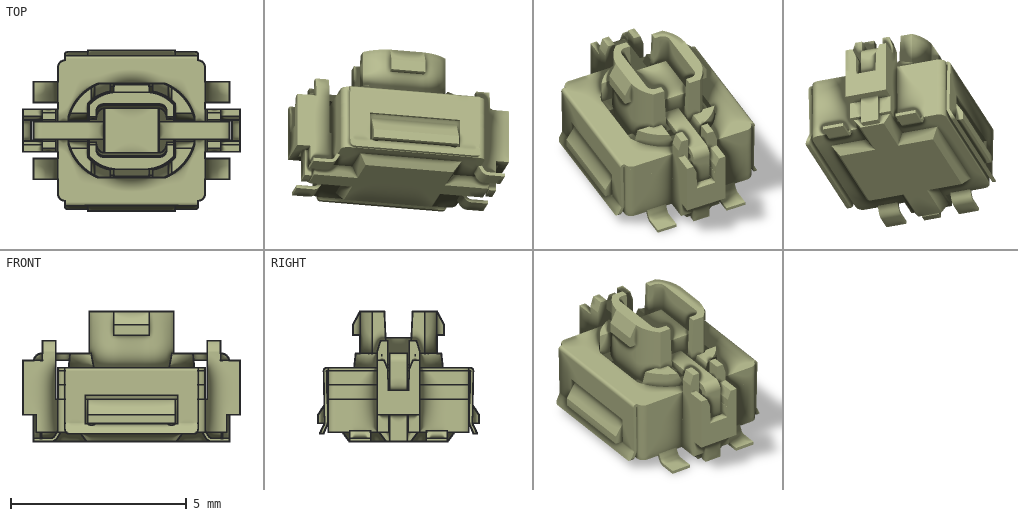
import cadquery as cq
import math


BASE_BOTTOM = 0.265
BASE_TOP = 1.215
LOWER_FRAME_TOP = 1.625
UPPER_FRAME_TOP = 2.02
SHEET = 0.095
COVER_TOP = UPPER_FRAME_TOP + SHEET
GUIDE_TOP = 2.525
BUTTON_TOP = 3.72
OVERLAP = 0.1

BODY_X = 4.21
BODY_Y = 4.02
CORNER_RADIUS = 0.21

PAD_X = 2.96
PAD_Y = 3.2
BAR_X = 5.16
BAR_Y = 1.1
PAD_INSET = 0.2
PAD_TAPER = math.degrees(math.atan2(PAD_INSET, BASE_BOTTOM))
BAR_END_SETBACK = 0.03

HOOK_WIDTH = 2.49
HOOK_TIP_Y = 2.3
HOOK_RAMP_END = 0.765
HOOK_BOTTOM = 0.525

BRACKET_TIP_X = 3.1
BRACKET_INNER_X = 2.16
BRACKET_SHOULDER_X = 2.545
BRACKET_LEG_X = 2.715
BRACKET_WIDTH = 1.22
SHOULDER_TOP = 2.325
POST_TOP = 2.885
POST_CHAMFER_Y = 0.1
POST_CHAMFER_Z = 0.31
WALL_BOTTOM = 0.765
NOTCH_FLOOR = 1.475
NOTCH_INNER_FLOOR = 1.8
NOTCH_TOP_HALF = 0.305
NOTCH_FLOOR_HALF = 0.29
NOTCH_FLARE_HALF = 0.41
NOTCH_FLARE_BOTTOM = 2.06
LEAD_SLOT_OUTER_X = 2.87
LEAD_SLOT_INNER_X = 2.575
LEAD_SLOT_HALF = 0.275

TERMINAL_WIDTH = 0.6
TERMINAL_PITCH = 2.19
TERMINAL_BEND = 0.15
TERMINAL_BEND_X = 2.32
TERMINAL_RISE = 60.0
TERMINAL_SLOPE = 0.25

LAMP_X = 1.58
LAMP_Y = 1.26
LAMP_TOP_X = 1.52
LAMP_BOTTOM = 2.2
LAMP_TOP = 2.97
LEAD_WIDTH = 0.51
LEAD_THICK = 0.2
LEAD_TOP = 2.525
LEAD_END_X = 2.8
LEAD_BEND = 0.25

ARC_CENTRE_X = 0.4
BUTTON_RADIUS = 1.1
BUTTON_HALF_X = 1.21
POCKET_X = 2.01
POCKET_TOP_HALF_Y = 0.76
POCKET_CORNER = 0.21
POCKET_CHAMFER = 0.09
SLOT_TOP_HALF = 0.4
SLOT_LAMP_HALF = 0.365
CATCH_WIDTH = 1.0
CATCH_TIP_Y = 1.303
CATCH_RAMP_END = 3.345
CATCH_BOTTOM = 3.045

GUIDE_RADIUS = 1.44
GUIDE_HALF_X = 1.79
GUIDE_HALF_Y = 1.335
GUIDE_GAP = 0.02
GUIDE_FLOOR = 1.95
BORE_FLARE = 0.04
PETAL_TOP_X = 1.155
PETAL_FLOOR_X = 1.045
GROOVE_FLOOR = 2.0
GROOVE_TOP_HALF = 0.5
GROOVE_FLOOR_HALF = 0.3
CATCH_PASSAGE_WIDTH = 1.215
CATCH_CHANNEL_DEPTH = 0.05
CATCH_RECESS_Y = 1.27

FLANGE_WIDTH = 3.8
FLANGE_TOP_Y = 2.145
FLANGE_BOTTOM_Y = 2.11
FLANGE_KNEE = 0.53
KNEE_RADIUS = 0.09
FLARE_TIP_Y = 2.255
FLARE_TIP_Z = 0.225
FLARE_TIP_WIDTH = 0.115
FLARE_CORNER = 0.12
WINDOW_WIDTH = 2.64
WINDOW_TOP = 1.33
WINDOW_BOTTOM = 0.505
RELIEF_DIAMETER = 0.35
RELIEF_X = (WINDOW_WIDTH - RELIEF_DIAMETER) / 2
RELIEF_Z = 0.645


def block(x0, x1, half_y, z0, z1):
    """Box between two X values and two Z values, centred on Y = 0."""
    box = cq.Workplane("XY").box(x1 - x0, 2 * half_y, z1 - z0, centered=(False, True, False))
    return box.translate((x0, 0, z0))


def along_y(points, length):
    """Extrude an XZ outline symmetrically along Y."""
    return cq.Workplane("XZ").polyline(points).close().extrude(length / 2, both=True)


def along_x(points, length):
    """Extrude a YZ outline symmetrically along X."""
    return cq.Workplane("YZ").polyline(points).close().extrude(length / 2, both=True)


def mirrored_points(right_side):
    """Close a symmetric outline from the points of its right side."""
    return right_side + [(-across, up) for across, up in reversed(right_side)]


def half_turn(shape):
    return shape.rotate((0, 0, 0), (0, 0, 1), 180)


def slab(z0, z1):
    """Layer with the rounded rectangular body footprint."""
    layer = cq.Workplane("XY").workplane(offset=z0).rect(BODY_X, BODY_Y).extrude(z1 - z0)
    return layer.edges("|Z").fillet(CORNER_RADIUS)


def rounded_outline(z0, radius, half_x, half_y):
    """Slot-like outline with round ends cut off flat at half_x and sides cut off flat at half_y."""
    side_y = math.sqrt(radius**2 - (half_x - ARC_CENTRE_X) ** 2)
    flat_x = ARC_CENTRE_X + math.sqrt(radius**2 - half_y**2)
    middle_angle = (math.atan2(side_y, half_x - ARC_CENTRE_X) + math.atan2(half_y, flat_x - ARC_CENTRE_X)) / 2
    middle_x = ARC_CENTRE_X + radius * math.cos(middle_angle)
    middle_y = radius * math.sin(middle_angle)
    return (
        cq.Workplane("XY")
        .workplane(offset=z0)
        .moveTo(half_x, -side_y)
        .lineTo(half_x, side_y)
        .threePointArc((middle_x, middle_y), (flat_x, half_y))
        .lineTo(-flat_x, half_y)
        .threePointArc((-middle_x, middle_y), (-half_x, side_y))
        .lineTo(-half_x, -side_y)
        .threePointArc((-middle_x, -middle_y), (-flat_x, -half_y))
        .lineTo(flat_x, -half_y)
        .threePointArc((middle_x, -middle_y), (half_x, -side_y))
        .close()
    )


def make_foot():
    """Tapered pad and crossing bar below the base."""
    top_plane = cq.Workplane("XY").workplane(offset=BASE_BOTTOM)
    pad = top_plane.rect(PAD_X, PAD_Y).extrude(-BASE_BOTTOM, taper=PAD_TAPER)
    bar = top_plane.rect(2 * BAR_X, BAR_Y).extrude(-BASE_BOTTOM, taper=PAD_TAPER)
    bar_end = BAR_X / 2
    bar_trim = along_y(
        mirrored_points([(bar_end - BAR_END_SETBACK, 0), (bar_end, BASE_BOTTOM)]), BODY_Y
    )
    return pad.union(bar.intersect(bar_trim))


def make_bracket():
    """Forked bracket on the +X end of the base."""
    bracket = along_y(
        [
            (BRACKET_INNER_X, BASE_BOTTOM),
            (BRACKET_LEG_X, BASE_BOTTOM),
            (BRACKET_LEG_X, WALL_BOTTOM),
            (BRACKET_TIP_X, WALL_BOTTOM),
            (BRACKET_TIP_X, SHOULDER_TOP),
            (BRACKET_SHOULDER_X, SHOULDER_TOP),
            (BRACKET_SHOULDER_X, POST_TOP),
            (BRACKET_INNER_X, POST_TOP),
        ],
        BRACKET_WIDTH,
    )
    half = BRACKET_WIDTH / 2
    end_shape = along_x(
        mirrored_points(
            [(half, 0), (half, POST_TOP - POST_CHAMFER_Z), (half - POST_CHAMFER_Y, POST_TOP)]
        ),
        3 * BRACKET_TIP_X,
    )
    bracket = bracket.intersect(end_shape)

    bracket = bracket.cut(
        block(BRACKET_INNER_X, BRACKET_TIP_X, NOTCH_TOP_HALF, NOTCH_INNER_FLOOR, POST_TOP)
    )
    flared_notch = along_x(
        mirrored_points(
            [
                (NOTCH_FLOOR_HALF, NOTCH_FLOOR),
                (NOTCH_TOP_HALF, NOTCH_FLARE_BOTTOM),
                (NOTCH_FLARE_HALF, SHOULDER_TOP),
            ]
        ),
        3 * BRACKET_TIP_X,
    )
    outer_region = block(BRACKET_SHOULDER_X, BRACKET_TIP_X, BRACKET_WIDTH, NOTCH_FLOOR, SHOULDER_TOP)
    bracket = bracket.cut(flared_notch.intersect(outer_region))

    bracket = bracket.cut(
        block(LEAD_SLOT_INNER_X, LEAD_SLOT_OUTER_X, LEAD_SLOT_HALF, 0, SHOULDER_TOP)
    )
    neck = block(BODY_X / 2 - OVERLAP, BRACKET_INNER_X, half, BASE_BOTTOM, BASE_TOP)
    return bracket.union(neck)


def make_terminal(y):
    """Gull-wing terminal on the +X end, entering the lower edge of the base."""
    rise = math.radians(TERMINAL_RISE)
    bend_z = SHEET + TERMINAL_BEND

    def bend_point(radius, angle):
        return (TERMINAL_BEND_X - radius * math.sin(angle), bend_z - radius * math.cos(angle))

    outer_bend = TERMINAL_BEND + SHEET
    upper_end = bend_point(TERMINAL_BEND, rise)
    lower_end = bend_point(outer_bend, rise)
    slope_x = -TERMINAL_SLOPE * math.cos(rise)
    slope_z = TERMINAL_SLOPE * math.sin(rise)
    return (
        cq.Workplane("XZ")
        .moveTo(LEAD_END_X, 0)
        .lineTo(LEAD_END_X, SHEET)
        .lineTo(TERMINAL_BEND_X, SHEET)
        .threePointArc(bend_point(TERMINAL_BEND, rise / 2), upper_end)
        .lineTo(upper_end[0] + slope_x, upper_end[1] + slope_z)
        .lineTo(lower_end[0] + slope_x, lower_end[1] + slope_z)
        .lineTo(*lower_end)
        .threePointArc(bend_point(outer_bend, rise / 2), (TERMINAL_BEND_X, 0))
        .close()
        .extrude(TERMINAL_WIDTH / 2, both=True)
        .translate((0, y, 0))
    )


def make_hook():
    """Snap hook on the +Y side of the base."""
    root_y = BODY_Y / 2 - OVERLAP
    return along_x(
        [
            (root_y, HOOK_BOTTOM),
            (HOOK_TIP_Y, HOOK_BOTTOM),
            (HOOK_TIP_Y, HOOK_RAMP_END),
            (BODY_Y / 2, BASE_TOP),
            (root_y, BASE_TOP),
        ],
        HOOK_WIDTH,
    )


def make_base():
    base = slab(BASE_BOTTOM, BASE_TOP).union(make_foot())
    attachments = [make_bracket(), make_hook()]
    attachments += [make_terminal(side * TERMINAL_PITCH / 2) for side in (-1, 1)]
    for attachment in attachments:
        base = base.union(attachment).union(half_turn(attachment))
    return base


def guide_opening(z0, z1):
    """Opening in the cover and upper frame that receives the guide."""
    outline = rounded_outline(
        z0, GUIDE_RADIUS + GUIDE_GAP, GUIDE_HALF_X + GUIDE_GAP, GUIDE_HALF_Y + GUIDE_GAP
    )
    return outline.extrude(z1 - z0)


def make_upper_frame():
    frame = slab(LOWER_FRAME_TOP, UPPER_FRAME_TOP)
    return frame.cut(guide_opening(LOWER_FRAME_TOP, UPPER_FRAME_TOP))


def make_flange():
    """Bent-down side flange on the +Y side of the cover, flared at its lower edge."""
    plate_y = BODY_Y / 2 - CORNER_RADIUS
    flare_in = FLANGE_BOTTOM_Y - SHEET
    flange = along_x(
        [
            (plate_y, COVER_TOP),
            (FLANGE_TOP_Y, COVER_TOP),
            (FLANGE_BOTTOM_Y, FLANGE_KNEE),
            (FLARE_TIP_Y, FLARE_TIP_Z),
            (FLARE_TIP_Y - FLARE_TIP_WIDTH, FLARE_TIP_Z),
            (flare_in, FLANGE_KNEE),
            (FLANGE_TOP_Y - SHEET, UPPER_FRAME_TOP),
            (plate_y, UPPER_FRAME_TOP),
        ],
        FLANGE_WIDTH,
    )
    flange = flange.edges("|X").edges(">Z").edges(">Y").fillet(SHEET)
    knee = cq.selectors.NearestToPointSelector((0, FLANGE_BOTTOM_Y, FLANGE_KNEE))
    flange = flange.edges("|X").edges(knee).fillet(KNEE_RADIUS)
    side_outline = (
        cq.Workplane("XZ")
        .rect(FLANGE_WIDTH, 2 * (COVER_TOP - FLARE_TIP_Z))
        .extrude(-2 * BODY_Y)
        .edges("|Y").edges("<Z")
        .fillet(FLARE_CORNER)
        .translate((0, 0, COVER_TOP))
    )
    window = block(-WINDOW_WIDTH / 2, WINDOW_WIDTH / 2, 2 * BODY_Y, WINDOW_BOTTOM, WINDOW_TOP)
    reliefs = (
        cq.Workplane("XZ")
        .pushPoints([(-RELIEF_X, RELIEF_Z), (RELIEF_X, RELIEF_Z)])
        .circle(RELIEF_DIAMETER / 2)
        .extrude(-2 * BODY_Y)
    )
    return flange.intersect(side_outline).cut(window).cut(reliefs)


def make_cover():
    cover = slab(UPPER_FRAME_TOP, COVER_TOP)
    flange = make_flange()
    cover = cover.union(flange).union(half_turn(flange))
    return cover.cut(guide_opening(UPPER_FRAME_TOP, COVER_TOP))


def make_guide():
    """Ring around the button, with a raised petal at each end."""
    height = GUIDE_TOP - LOWER_FRAME_TOP
    guide = rounded_outline(LOWER_FRAME_TOP, GUIDE_RADIUS, GUIDE_HALF_X, GUIDE_HALF_Y).extrude(height)

    middle = along_y(
        mirrored_points([(PETAL_FLOOR_X, GUIDE_FLOOR), (PETAL_TOP_X, GUIDE_TOP)]), 2 * BODY_Y
    )
    guide = guide.cut(middle)

    flare_taper = -math.degrees(math.atan2(BORE_FLARE, GUIDE_FLOOR - LOWER_FRAME_TOP))
    flare = rounded_outline(LOWER_FRAME_TOP, BUTTON_RADIUS, BUTTON_HALF_X, BUTTON_RADIUS)
    flare = flare.extrude(GUIDE_FLOOR - LOWER_FRAME_TOP, taper=flare_taper)
    bore_radius = BUTTON_RADIUS + BORE_FLARE
    bore = rounded_outline(GUIDE_FLOOR, bore_radius, BUTTON_HALF_X + BORE_FLARE, bore_radius)
    guide = guide.cut(flare).cut(bore.extrude(GUIDE_TOP - GUIDE_FLOOR))

    groove = along_x(
        mirrored_points([(GROOVE_FLOOR_HALF, GROOVE_FLOOR), (GROOVE_TOP_HALF, GUIDE_TOP)]), 2 * BODY_X
    )
    guide = guide.cut(groove)

    channel_floor = GUIDE_FLOOR - CATCH_CHANNEL_DEPTH
    channel = block(
        -CATCH_PASSAGE_WIDTH / 2, CATCH_PASSAGE_WIDTH / 2, GUIDE_HALF_Y, channel_floor, GUIDE_FLOOR
    )
    recess = along_x(
        mirrored_points([(BUTTON_RADIUS, LOWER_FRAME_TOP), (CATCH_RECESS_Y, channel_floor)]),
        CATCH_PASSAGE_WIDTH,
    )
    return guide.cut(channel).cut(recess)


def make_button():
    """Hollow button with a slot at each end and a catch on each side."""
    button = rounded_outline(LOWER_FRAME_TOP, BUTTON_RADIUS, BUTTON_HALF_X, BUTTON_RADIUS)
    button = button.extrude(BUTTON_TOP - LOWER_FRAME_TOP)
    catch = along_x(
        [
            (BUTTON_RADIUS - OVERLAP, CATCH_BOTTOM),
            (CATCH_TIP_Y, CATCH_BOTTOM),
            (CATCH_TIP_Y, CATCH_RAMP_END),
            (BUTTON_RADIUS, BUTTON_TOP),
            (BUTTON_RADIUS - OVERLAP, BUTTON_TOP),
        ],
        CATCH_WIDTH,
    )
    button = button.union(catch).union(half_turn(catch))

    lamp_half = LAMP_Y / 2
    chamfer_half = lamp_half + POCKET_CHAMFER
    pocket = along_x(
        mirrored_points(
            [
                (lamp_half, LAMP_BOTTOM),
                (chamfer_half, LAMP_BOTTOM + POCKET_CHAMFER),
                (POCKET_TOP_HALF_Y, BUTTON_TOP),
            ]
        ),
        POCKET_X,
    )
    pocket = pocket.faces("|X").edges("not |Y").fillet(POCKET_CORNER)
    button = button.cut(pocket)

    slot_slope = (SLOT_TOP_HALF - SLOT_LAMP_HALF) / (BUTTON_TOP - LAMP_TOP)
    slot_floor_half = SLOT_TOP_HALF - slot_slope * (BUTTON_TOP - LAMP_BOTTOM)
    slot = along_x(
        mirrored_points([(slot_floor_half, LAMP_BOTTOM), (SLOT_TOP_HALF, BUTTON_TOP)]), 4 * BUTTON_HALF_X
    )
    return button.cut(slot)


def make_lead():
    """Flat lead bent down at the +X end."""
    lead = along_y(
        [
            (LAMP_TOP_X / 2 - OVERLAP, LEAD_TOP),
            (LEAD_END_X, LEAD_TOP),
            (LEAD_END_X, 0),
            (LEAD_END_X - LEAD_THICK, 0),
            (LEAD_END_X - LEAD_THICK, LEAD_TOP - LEAD_THICK),
            (LAMP_TOP_X / 2 - OVERLAP, LEAD_TOP - LEAD_THICK),
        ],
        LEAD_WIDTH,
    )
    lead = lead.edges("|Y").edges(">Z").edges(">X").fillet(LEAD_BEND)
    inner_corner = cq.selectors.NearestToPointSelector((LEAD_END_X - LEAD_THICK, 0, LEAD_TOP - LEAD_THICK))
    return lead.edges("|Y").edges(inner_corner).fillet(LEAD_BEND - LEAD_THICK)


def make_lamp():
    """Lamp body with its two leads."""
    half = LAMP_X / 2
    lamp = along_y(
        mirrored_points([(half, LAMP_BOTTOM), (half, LEAD_TOP), (LAMP_TOP_X / 2, LAMP_TOP)]), LAMP_Y
    )
    lead = make_lead()
    return lamp.union(lead).union(half_turn(lead))


base = make_base()
lower_frame = slab(BASE_TOP, LOWER_FRAME_TOP)
upper_frame = make_upper_frame()
cover = make_cover()
guide = make_guide()
button = make_button()
lamp = make_lamp()

bodies = [base, lower_frame, upper_frame, cover, guide, button, lamp]
result = cq.Compound.makeCompound([body.solids().val() for body in bodies])